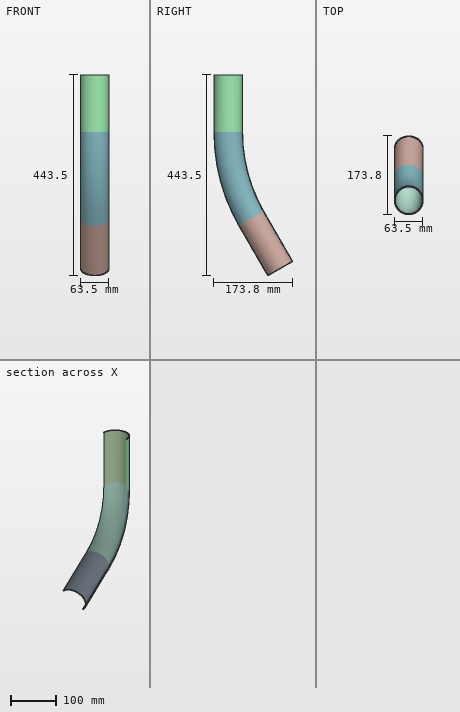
import cadquery as cq
import math

height = 443.5
outer_diameter = 63.5
inner_diameter = 59.5
bend_radius = 381.5
bend_angle = math.radians(30)

sin_bend = math.sin(bend_angle)
cos_bend = math.cos(bend_angle)

end_drop = outer_diameter / 2 * sin_bend
leg_length = (height - bend_radius * sin_bend - end_drop) / (1 + cos_bend)

bend_end_y = bend_radius * (1 - cos_bend)
bend_end_z = -leg_length - bend_radius * sin_bend
mid_angle = bend_angle / 2
bend_middle = (
    bend_radius * (1 - math.cos(mid_angle)),
    -leg_length - bend_radius * math.sin(mid_angle),
)
centreline = (
    cq.Workplane("YZ")
    .lineTo(0, -leg_length)
    .threePointArc(bend_middle, (bend_end_y, bend_end_z))
    .lineTo(bend_end_y + leg_length * sin_bend, bend_end_z - leg_length * cos_bend)
)

result = (
    cq.Workplane("XY")
    .circle(outer_diameter / 2)
    .circle(inner_diameter / 2)
    .sweep(centreline)
)